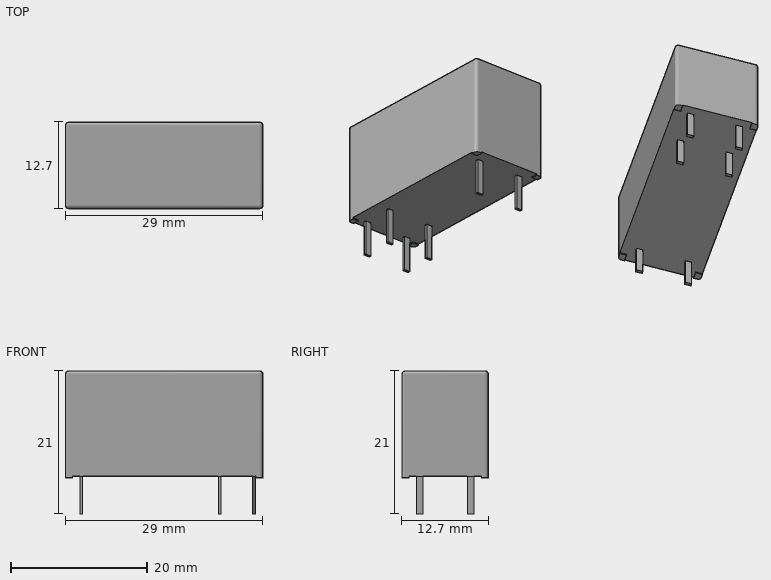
import cadquery as cq

length = 29.0
width = 12.7
total_height = 21.0

case_height = 15.7
edge_radius = 0.5
foot_size = 1.05
foot_height = 0.2

pin_thickness = 0.4
pin_width = 1.0
row_spacing = 7.48
first_pin_from_end = 2.32
contact_pin_offsets = (20.33, 25.35)
pin_embed = 0.3

pin_tip_z = case_height - total_height
first_pin_x = first_pin_from_end - length / 2
pin_columns = [first_pin_x] + [first_pin_x + offset for offset in contact_pin_offsets]


def make_case():
    """Box with rounded top and vertical edges, relieved below between the feet."""
    case = (
        cq.Workplane("XY")
        .box(length, width, case_height, centered=(True, True, False))
        .edges("|Z or >Z")
        .fillet(edge_radius)
    )
    gap_along_length = cq.Workplane("XY").box(
        length - 2 * foot_size, width, foot_height, centered=(True, True, False)
    )
    gap_along_width = cq.Workplane("XY").box(
        length, width - 2 * foot_size, foot_height, centered=(True, True, False)
    )
    return case.cut(gap_along_length).cut(gap_along_width)


def make_pins():
    """Two mirrored rows of rectangular pins."""
    pin_centers = [(x, side * row_spacing / 2) for x in pin_columns for side in (-1, 1)]
    pin_length = foot_height + pin_embed - pin_tip_z
    return (
        cq.Workplane("XY", origin=(0, 0, pin_tip_z))
        .pushPoints(pin_centers)
        .rect(pin_thickness, pin_width)
        .extrude(pin_length)
    )


result = make_case().union(make_pins())